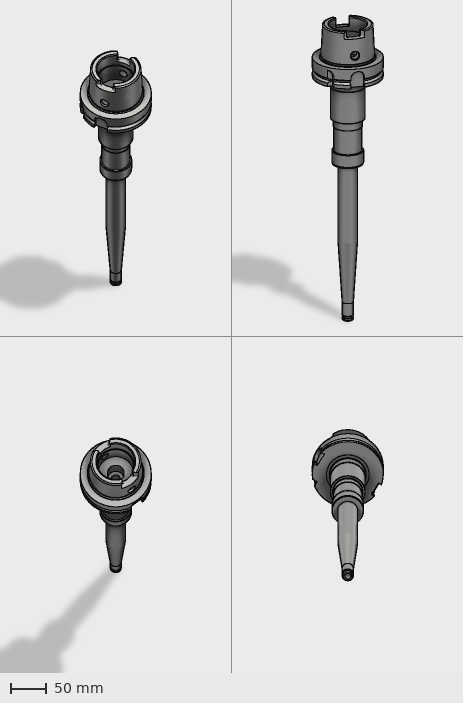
import cadquery as cq
import math


SHANK_TOP = 50.0
SHANK_GAUGE_Z = 10.0
SHANK_GAUGE_RADIUS = 37.5
SHANK_TAPER = 0.05
RIM_CHAMFER_WIDTH = 2.3
RIM_CHAMFER_HEIGHT = 1.3
RELIEF_HEIGHT = 2.8
RELIEF_DEPTH = 1.2
FACE_GROOVE_RADIUS = 40.0
FACE_GROOVE_DEPTH = 0.8

FLANGE_RADIUS = 50.0
FLANGE_HEIGHT = 29.0
GROOVE_CENTRE_Z = -20.0
GROOVE_WIDTH = 6.2
GROOVE_FLOOR_RADIUS = 46.0
GROOVE_HALF_ANGLE = math.radians(30)
GROOVE_LIP_CHAMFER = 0.7
PLINTH_RADIUS = 30.0
PLINTH_BOTTOM = -30.0
ROOT_CHAMFER = 1.0

UPPER_BODY_RADIUS = 25.0
UPPER_BODY_BOTTOM = -43.5
BODY_STEP_HEIGHT = 1.0
BODY_RADIUS = 24.5
BODY_BOTTOM = -92.0
BODY_CHAMFER = 0.5
NECK_RADIUS = 20.5
NECK_BOTTOM = -104.0
WAIST_RADIUS = 19.8
RING_TOP = -140.0
RING_RADIUS = 22.5
RING_BOTTOM = -160.0
RING_TOP_CHAMFER = 0.5
RING_CHAMFER_WIDTH = 0.8
RING_CHAMFER_HEIGHT = 2.0
STEM_RADIUS = 14.0
STEM_CONE_TOP = -276.0
STEM_CONE_BOTTOM = -368.8
STEM_CONE_END_RADIUS = 8.1

TIP_RADIUS = 7.9
TIP_GROOVE_TOP = -388.5
TIP_GROOVE_RADIUS = 6.5
TIP_HEAD_TOP = -391.0
TIP_BOTTOM = -396.0
TIP_TOP_CHAMFER = 1.2
TIP_BOTTOM_CHAMFER = 1.6

SOCKET_RADIUS = 26.5
SOCKET_CHAMFER = 1.5
SOCKET_STEP_Z = 29.0
SOCKET_LOWER_RADIUS = 25.0
SOCKET_FLOOR_Z = 0.0
THREAD_RADIUS = 11.9
THREAD_FLOOR_Z = -25.0
PILOT_RADIUS = 6.5
PILOT_FLOOR_Z = -50.0
FEED_RADIUS = 5.0
FEED_FLOOR_Z = -160.0
THROUGH_RADIUS = 4.25

CROSS_HOLE_RADIUS = 6.0
CROSS_HOLE_MOUTH_RADIUS = 6.5
CROSS_HOLE_MOUTH_START = 34.0
CROSS_HOLE_Z = 15.0

KEYWAY_WIDTH = 20.0
KEYWAY_FLARE_START = 28.0
KEYWAY_FLARE_ANGLE = math.radians(48)
KEYWAY_FILLET = 2.5
FRONT_KEYWAY_FLOOR_Z = 40.0
REAR_KEYWAY_FLOOR_Z = 35.5

SLOT_WIDTH = 20.0
SLOT_TOP_Z = -4.0
SLOT_FLOOR_Y = 44.0
CORNER_SLOT_FLOOR_Y = 31.5
CORNER_SLOT_WALL_X = 31.5


def shank_radius(z):
    """Radius of the shank cone at height z."""
    return SHANK_GAUGE_RADIUS - SHANK_TAPER * (z - SHANK_GAUGE_Z)


def make_body():
    """Revolved outside of the whole holder, without bores."""
    rim = shank_radius(SHANK_TOP - RIM_CHAMFER_HEIGHT)
    foot = shank_radius(RELIEF_HEIGHT)
    relief = foot - RELIEF_DEPTH
    half_mouth = GROOVE_WIDTH / 2
    lip = FLANGE_RADIUS - GROOVE_LIP_CHAMFER
    half_floor = half_mouth - (lip - GROOVE_FLOOR_RADIUS) * math.tan(GROOVE_HALF_ANGLE)
    profile = [
        (0, SHANK_TOP),
        (rim - RIM_CHAMFER_WIDTH, SHANK_TOP),
        (rim, SHANK_TOP - RIM_CHAMFER_HEIGHT),
        (foot, RELIEF_HEIGHT),
        (relief, RELIEF_HEIGHT - RELIEF_DEPTH),
        (relief, -FACE_GROOVE_DEPTH),
        (FACE_GROOVE_RADIUS - FACE_GROOVE_DEPTH, -FACE_GROOVE_DEPTH),
        (FACE_GROOVE_RADIUS, 0),
        (FLANGE_RADIUS, 0),
        (FLANGE_RADIUS, GROOVE_CENTRE_Z + half_mouth + GROOVE_LIP_CHAMFER),
        (lip, GROOVE_CENTRE_Z + half_mouth),
        (GROOVE_FLOOR_RADIUS, GROOVE_CENTRE_Z + half_floor),
        (GROOVE_FLOOR_RADIUS, GROOVE_CENTRE_Z - half_floor),
        (lip, GROOVE_CENTRE_Z - half_mouth),
        (FLANGE_RADIUS, GROOVE_CENTRE_Z - half_mouth - GROOVE_LIP_CHAMFER),
        (FLANGE_RADIUS, -FLANGE_HEIGHT),
        (PLINTH_RADIUS, -FLANGE_HEIGHT),
        (PLINTH_RADIUS, PLINTH_BOTTOM),
        (UPPER_BODY_RADIUS + ROOT_CHAMFER, PLINTH_BOTTOM),
        (UPPER_BODY_RADIUS, PLINTH_BOTTOM - ROOT_CHAMFER),
        (UPPER_BODY_RADIUS, UPPER_BODY_BOTTOM),
        (BODY_RADIUS, UPPER_BODY_BOTTOM - BODY_STEP_HEIGHT),
        (BODY_RADIUS, BODY_BOTTOM + BODY_CHAMFER),
        (BODY_RADIUS - BODY_CHAMFER, BODY_BOTTOM),
        (NECK_RADIUS + ROOT_CHAMFER, BODY_BOTTOM),
        (NECK_RADIUS, BODY_BOTTOM - ROOT_CHAMFER),
        (NECK_RADIUS, NECK_BOTTOM),
        (WAIST_RADIUS, NECK_BOTTOM),
        (WAIST_RADIUS, RING_TOP),
        (RING_RADIUS - RING_TOP_CHAMFER, RING_TOP),
        (RING_RADIUS, RING_TOP - RING_TOP_CHAMFER),
        (RING_RADIUS, RING_BOTTOM + RING_CHAMFER_HEIGHT),
        (RING_RADIUS - RING_CHAMFER_WIDTH, RING_BOTTOM),
        (STEM_RADIUS, RING_BOTTOM),
        (STEM_RADIUS, STEM_CONE_TOP),
        (STEM_CONE_END_RADIUS, STEM_CONE_BOTTOM),
        (TIP_RADIUS, STEM_CONE_BOTTOM),
        (TIP_RADIUS, TIP_GROOVE_TOP),
        (TIP_GROOVE_RADIUS, TIP_GROOVE_TOP),
        (TIP_GROOVE_RADIUS, TIP_HEAD_TOP),
        (TIP_RADIUS, TIP_HEAD_TOP - TIP_TOP_CHAMFER),
        (TIP_RADIUS, TIP_BOTTOM + TIP_BOTTOM_CHAMFER),
        (TIP_RADIUS - TIP_BOTTOM_CHAMFER, TIP_BOTTOM),
        (0, TIP_BOTTOM),
    ]
    return cq.Workplane("XZ").polyline(profile).close().revolve(360, (0, 0), (0, 1))


def make_bore():
    """Revolved socket, threaded recess, pilot and through hole."""
    profile = [
        (0, SHANK_TOP),
        (SOCKET_RADIUS + SOCKET_CHAMFER, SHANK_TOP),
        (SOCKET_RADIUS, SHANK_TOP - SOCKET_CHAMFER),
        (SOCKET_RADIUS, SOCKET_STEP_Z),
        (SOCKET_LOWER_RADIUS, SOCKET_STEP_Z),
        (SOCKET_LOWER_RADIUS, SOCKET_FLOOR_Z),
        (THREAD_RADIUS, SOCKET_FLOOR_Z),
        (THREAD_RADIUS, THREAD_FLOOR_Z),
        (PILOT_RADIUS, THREAD_FLOOR_Z),
        (PILOT_RADIUS, PILOT_FLOOR_Z),
        (FEED_RADIUS, PILOT_FLOOR_Z),
        (FEED_RADIUS, FEED_FLOOR_Z),
        (THROUGH_RADIUS, FEED_FLOOR_Z),
        (THROUGH_RADIUS, TIP_BOTTOM),
        (0, TIP_BOTTOM),
    ]
    return cq.Workplane("XZ").polyline(profile).close().revolve(360, (0, 0), (0, 1))


def make_cross_hole():
    """Hole along Y through both walls of the shank, with a wider mouth outside."""
    profile = [
        (0, -FLANGE_RADIUS),
        (CROSS_HOLE_MOUTH_RADIUS, -FLANGE_RADIUS),
        (CROSS_HOLE_MOUTH_RADIUS, -CROSS_HOLE_MOUTH_START),
        (CROSS_HOLE_RADIUS, -CROSS_HOLE_MOUTH_START),
        (CROSS_HOLE_RADIUS, CROSS_HOLE_MOUTH_START),
        (CROSS_HOLE_MOUTH_RADIUS, CROSS_HOLE_MOUTH_START),
        (CROSS_HOLE_MOUTH_RADIUS, FLANGE_RADIUS),
        (0, FLANGE_RADIUS),
    ]
    base = cq.Workplane("XY", origin=(0, 0, CROSS_HOLE_Z))
    return base.polyline(profile).close().revolve(360, (0, 0), (0, 1))


def make_keyway(side, floor_z):
    """Rim keyway on the -Y (side = -1) or +Y (side = 1) wall, flared outwards."""
    half = KEYWAY_WIDTH / 2
    flare_half = half + (FLANGE_RADIUS - KEYWAY_FLARE_START) * math.tan(KEYWAY_FLARE_ANGLE)
    outline = [
        (-half, 0),
        (half, 0),
        (half, side * KEYWAY_FLARE_START),
        (flare_half, side * FLANGE_RADIUS),
        (-flare_half, side * FLANGE_RADIUS),
        (-half, side * KEYWAY_FLARE_START),
    ]
    base = cq.Workplane("XY", origin=(0, 0, floor_z))
    keyway = base.polyline(outline).close().extrude(SHANK_TOP - floor_z)
    return keyway.faces("<Z").edges("not(#Y)").fillet(KEYWAY_FILLET)


def make_flange_slot(centre_x, side, floor_y):
    """Slot with a round top, open at the underside of the flange."""
    half = SLOT_WIDTH / 2
    arc_z = SLOT_TOP_Z - half
    depth = FLANGE_RADIUS - floor_y
    plane = cq.Plane(origin=(centre_x, side * floor_y, 0), xDir=(1, 0, 0), normal=(0, side, 0))
    up = -side
    return (
        cq.Workplane(plane)
        .moveTo(-half, -up * FLANGE_HEIGHT)
        .lineTo(-half, up * arc_z)
        .threePointArc((0, up * SLOT_TOP_Z), (half, up * arc_z))
        .lineTo(half, -up * FLANGE_HEIGHT)
        .close()
        .extrude(depth)
    )


result = make_body().cut(make_bore()).cut(make_cross_hole())
result = result.cut(make_keyway(-1, FRONT_KEYWAY_FLOOR_Z))
result = result.cut(make_keyway(1, REAR_KEYWAY_FLOOR_Z))
for slot_side in (-1, 1):
    result = result.cut(make_flange_slot(0, slot_side, SLOT_FLOOR_Y))
corner_slot_x = -CORNER_SLOT_WALL_X - SLOT_WIDTH / 2
result = result.cut(make_flange_slot(corner_slot_x, -1, CORNER_SLOT_FLOOR_Y))